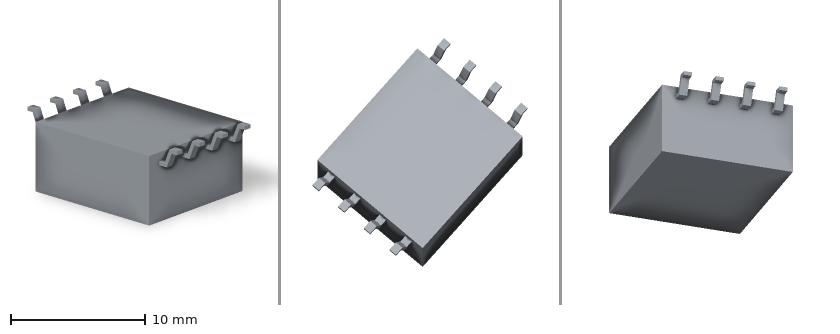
import cadquery as cq

span_x = 15.0
body_width_y = 10.4
total_height = 6.0

body_length_x = 11.4
body_height = 5.5

leads_per_side = 4
lead_pitch = 2.54
lead_width = 0.63
lead_thickness = 0.3
lead_rise = 1.5
foot_top_length = 0.74
foot_bottom_length = 0.52
slope_run = 0.5

body = cq.Workplane("XY").box(
    body_length_x, body_width_y, body_height, centered=(True, True, False)
)


def make_lead(y_center):
    """Z-shaped lead on the +X side, touching the body's end face."""
    body_face = body_length_x / 2
    tip = span_x / 2
    foot_top = total_height
    foot_bottom = foot_top - lead_thickness
    shank_bottom = foot_top - lead_rise
    shank_top = shank_bottom + lead_thickness
    upper_bend = tip - foot_top_length
    lower_bend = tip - foot_bottom_length
    profile = [
        (body_face, shank_bottom),
        (lower_bend - slope_run, shank_bottom),
        (lower_bend, foot_bottom),
        (tip, foot_bottom),
        (tip, foot_top),
        (upper_bend, foot_top),
        (upper_bend - slope_run, shank_top),
        (body_face, shank_top),
    ]
    return (
        cq.Workplane("XZ", origin=(0, y_center + lead_width / 2, 0))
        .polyline(profile)
        .close()
        .extrude(lead_width)
    )


result = body
for index in range(leads_per_side):
    lead_y = (index - (leads_per_side - 1) / 2) * lead_pitch
    lead = make_lead(lead_y)
    result = result.union(lead).union(lead.mirror("YZ"))